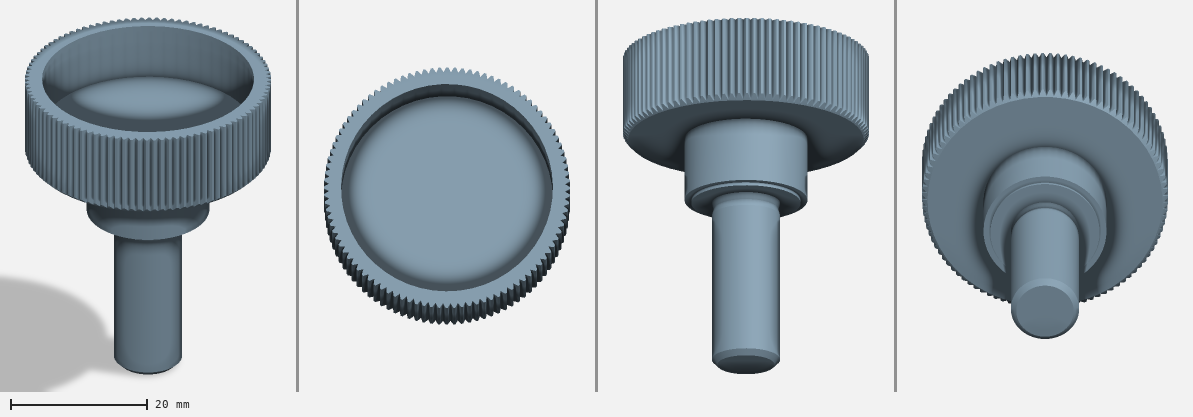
import cadquery as cq
import math

total_height = 47.5
head_height = 12.5
hub_height = 9.5
collar_height = 0.48

head_base_z = total_height - head_height
hub_base_z = head_base_z - hub_height
collar_base_z = hub_base_z - collar_height

head_radius = 36.0 / 2
head_chamfer = 0.8
recess_radius = 31.0 / 2
recess_depth = 8.55
groove_count = 100
groove_depth = 0.7
groove_angle = 60.0

hub_radius = 18.0 / 2
collar_radius = 16.0 / 2
shank_radius = 10.0 / 2
shank_chamfer = 0.8

neck_half_height = 1.0
neck_taper = 15.0
waist_radius = shank_radius - neck_half_height * math.tan(math.radians(neck_taper))


def make_stem():
    """Turned hub, collar, waisted neck and chamfered shank."""
    waist_z = collar_base_z - neck_half_height
    shank_top_z = waist_z - neck_half_height
    return (
        cq.Workplane("XZ")
        .lineTo(shank_radius - shank_chamfer, 0)
        .lineTo(shank_radius, shank_chamfer)
        .lineTo(shank_radius, shank_top_z)
        .lineTo(waist_radius, waist_z)
        .lineTo(shank_radius, collar_base_z)
        .lineTo(collar_radius, collar_base_z)
        .lineTo(collar_radius, hub_base_z)
        .lineTo(hub_radius, hub_base_z)
        .lineTo(hub_radius, head_base_z)
        .lineTo(0, head_base_z)
        .close()
        .revolve(360, (0, 0), (0, 1))
    )


def rim_point(angle, radius=head_radius):
    """XY point at the given angle (radians) around the head axis."""
    return radius * math.cos(angle), radius * math.sin(angle)


def make_knurled_disc():
    """Head blank whose outline alternates V grooves and arc lands."""
    pitch = 2 * math.pi / groove_count
    half_width = groove_depth * math.tan(math.radians(groove_angle / 2))
    half_groove = math.asin(half_width / head_radius)

    outline = cq.Workplane("XY", origin=(0, 0, head_base_z)).moveTo(*rim_point(-half_groove))
    for index in range(groove_count):
        groove = index * pitch
        land_middle = rim_point(groove + pitch / 2)
        land_end = rim_point(groove + pitch - half_groove)
        outline = (
            outline
            .lineTo(*rim_point(groove, head_radius - groove_depth))
            .lineTo(*rim_point(groove + half_groove))
            .threePointArc(land_middle, land_end)
        )
    return outline.close().extrude(head_height)


def make_head_envelope():
    """Cylinder with a chamfered bottom edge that trims the knurled disc."""
    return (
        cq.Workplane("XY", origin=(0, 0, head_base_z))
        .circle(head_radius)
        .extrude(head_height)
        .faces("<Z")
        .chamfer(head_chamfer)
    )


def make_recess():
    """Round pocket open at the top of the head."""
    return (
        cq.Workplane("XY", origin=(0, 0, total_height - recess_depth))
        .circle(recess_radius)
        .extrude(recess_depth)
    )


head = make_knurled_disc().intersect(make_head_envelope()).cut(make_recess())
result = head.union(make_stem())